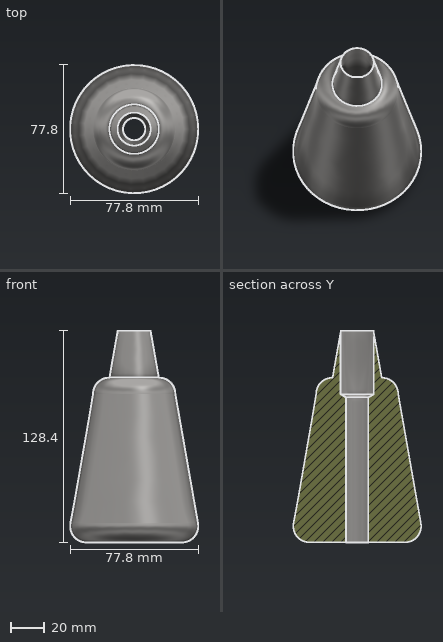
import cadquery as cq
import math

total_height = 128.4
neck_base_height = 100.0

base_corner_radius = 40.8
neck_base_radius = 15.0
round_radius = 10.0
shoulder_height = neck_base_height - round_radius
shoulder_radius = neck_base_radius + round_radius

bore_diameter = 20.0
outlet_radius = 6.7
bore_radius = bore_diameter / 2
neck_top_radius = bore_radius
bore_tip_angle = 118.0
bore_cone_depth = (bore_radius - outlet_radius) / math.tan(math.radians(bore_tip_angle / 2))
bore_depth = total_height - shoulder_height


def make_body():
    """Conical bell with a rounded shoulder, a tapered neck and a rounded base edge."""
    solid = (
        cq.Workplane("XZ")
        .lineTo(base_corner_radius, 0)
        .lineTo(shoulder_radius, shoulder_height)
        .radiusArc((neck_base_radius, neck_base_height), -round_radius)
        .lineTo(neck_top_radius, total_height)
        .lineTo(0, total_height)
        .close()
        .revolve(360, (0, 0, 0), (0, 1, 0))
    )
    return solid.faces("<Z").edges().fillet(round_radius)


def make_bore():
    """Wide upper bore that narrows through a short cone to the outlet in the base."""
    bore_floor = total_height - bore_depth
    return (
        cq.Workplane("XZ")
        .lineTo(outlet_radius, 0)
        .lineTo(outlet_radius, bore_floor - bore_cone_depth)
        .lineTo(bore_radius, bore_floor)
        .lineTo(bore_radius, total_height)
        .lineTo(0, total_height)
        .close()
        .revolve(360, (0, 0, 0), (0, 1, 0))
    )


result = make_body().cut(make_bore())